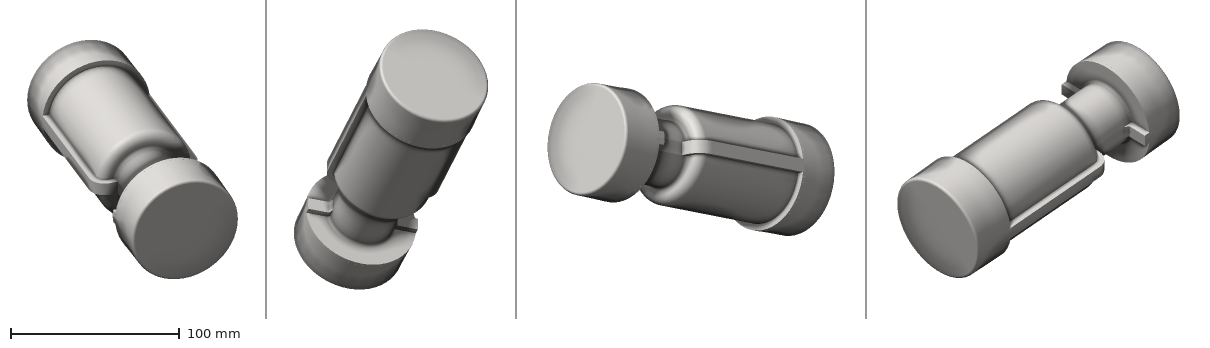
import cadquery as cq

TOTAL_LENGTH = 174.2
END_DIAMETER = 68.5
END_RADIUS = END_DIAMETER / 2

CAP_LENGTH = 25.5
CAP_TAPER = 0.44
CAP_EDGE_FILLET = 1.7

FLANGE_WIDTH = 4.0
DISC_THICKNESS = 2.0
BARREL_RADIUS = END_RADIUS - FLANGE_WIDTH
SHOULDER_X = 22.6
SHOULDER_FILLET = 6.0
NECK_RADIUS = 20.0
NECK_FILLET = 2.0

FLANGE_THICKNESS = 4.0
FLANGE_ROOT_DEPTH = 1.0
CORNER_RUN = 3.0
CORNER_RISE = 1.7

SHELL_END_X = TOTAL_LENGTH / 2 - CAP_LENGTH
DISC_FACE_X = SHELL_END_X - DISC_THICKNESS
DISC_FLANGE_X = DISC_FACE_X - FLANGE_WIDTH
NECK_FLAT_Y = (NECK_RADIUS**2 - FLANGE_THICKNESS**2) ** 0.5


def make_core():
    """Barrel, neck and the two end discs, turned about X."""
    profile = (
        cq.Workplane("XY")
        .moveTo(-SHELL_END_X, 0)
        .lineTo(-SHELL_END_X, END_RADIUS)
        .lineTo(-DISC_FACE_X, END_RADIUS)
        .lineTo(-DISC_FACE_X, BARREL_RADIUS)
        .lineTo(SHOULDER_X - SHOULDER_FILLET, BARREL_RADIUS)
        .radiusArc((SHOULDER_X, BARREL_RADIUS - SHOULDER_FILLET), SHOULDER_FILLET)
        .lineTo(SHOULDER_X, NECK_RADIUS + NECK_FILLET)
        .radiusArc((SHOULDER_X + NECK_FILLET, NECK_RADIUS), -NECK_FILLET)
        .lineTo(DISC_FACE_X - NECK_FILLET, NECK_RADIUS)
        .radiusArc((DISC_FACE_X, NECK_RADIUS + NECK_FILLET), -NECK_FILLET)
        .lineTo(DISC_FACE_X, END_RADIUS)
        .lineTo(SHELL_END_X, END_RADIUS)
        .lineTo(SHELL_END_X, 0)
        .close()
    )
    return profile.revolve(360, (0, 0, 0), (1, 0, 0))


def make_barrel_flange():
    """Flange plate that follows the barrel and its rounded shoulder."""
    corner_radius = SHOULDER_FILLET + FLANGE_WIDTH
    flange_end_x = SHOULDER_X + FLANGE_WIDTH
    length = flange_end_x + SHELL_END_X - FLANGE_ROOT_DEPTH
    return (
        cq.Workplane("XY")
        .box(length, END_DIAMETER, FLANGE_THICKNESS, centered=(False, True, False))
        .translate((flange_end_x - length, 0, 0))
        .edges("|Z and >X")
        .fillet(corner_radius)
    )


def make_disc_flange():
    """Flange plate in front of the end disc, rounded to the disc rim and bevelled into the neck."""
    bevel_top_y = NECK_FLAT_Y + CORNER_RISE
    bevel_start_x = DISC_FLANGE_X - CORNER_RUN
    plate = (
        cq.Workplane("XY")
        .polyline([
            (bevel_start_x, NECK_FLAT_Y),
            (DISC_FLANGE_X, bevel_top_y),
            (DISC_FLANGE_X, END_RADIUS),
            (SHELL_END_X, END_RADIUS),
            (SHELL_END_X, -END_RADIUS),
            (DISC_FLANGE_X, -END_RADIUS),
            (DISC_FLANGE_X, -bevel_top_y),
            (bevel_start_x, -NECK_FLAT_Y),
        ])
        .close()
        .extrude(FLANGE_THICKNESS)
    )
    rim = (
        cq.Workplane("XY")
        .rect(2 * SHELL_END_X, END_RADIUS, centered=(True, False))
        .revolve(360, (0, 0, 0), (1, 0, 0))
    )
    return plate.intersect(rim)


def make_neck_flats():
    """Material to remove so that the neck is flat beside the parting plane."""
    depth = END_RADIUS - NECK_FLAT_Y
    middle_y = NECK_FLAT_Y + depth / 2
    return (
        cq.Workplane("XY")
        .pushPoints([(SHOULDER_X, middle_y), (SHOULDER_X, -middle_y)])
        .box(DISC_FACE_X - SHOULDER_X, depth, FLANGE_THICKNESS, centered=(False, True, False))
    )


def make_upper_shell():
    """Half shell above the parting plane."""
    upper_space = cq.Workplane("XY").box(
        TOTAL_LENGTH, END_DIAMETER, END_RADIUS, centered=(True, True, False)
    )
    core = make_core().cut(make_neck_flats())
    shell = core.union(make_disc_flange()).union(make_barrel_flange())
    return shell.intersect(upper_space)


def make_cap():
    """Tapered cap on the +X end, with a rounded outer edge."""
    return (
        cq.Workplane("XY")
        .polyline([
            (SHELL_END_X, 0),
            (SHELL_END_X, END_RADIUS),
            (TOTAL_LENGTH / 2, END_RADIUS - CAP_TAPER),
            (TOTAL_LENGTH / 2, 0),
        ])
        .close()
        .revolve(360, (0, 0, 0), (1, 0, 0))
        .faces(">X")
        .edges()
        .fillet(CAP_EDGE_FILLET)
    )


upper_shell = make_upper_shell()
lower_shell = upper_shell.mirror("XY")

caps = []
for turn in (0, 180):
    caps.append(make_cap().rotate((0, 0, 0), (0, 0, 1), turn).val())

result = cq.Compound.makeCompound([upper_shell.val(), lower_shell.val(), *caps])